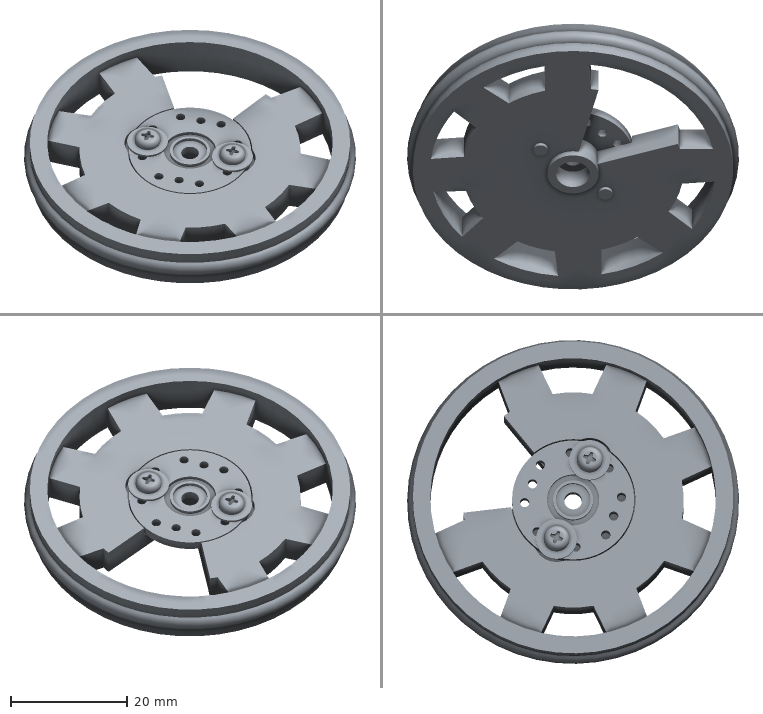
import cadquery as cq
import math

OVERALL_DIAMETER = 57.0
RIM_DIAMETER = 55.0
RIM_BORE = 49.0
RIM_HEIGHT = 7.0
WEB_THICKNESS = 5.0
NOTCH_FLOOR_RADIUS = 19.0
NOTCH_FLOOR_HALF_WIDTH = 3.4
NOTCH_SIDE_ANGLE = 25.0
NOTCH_COUNT = 8
OPENING_ANGLE = 58.0

TYRE_SECTION_DIAMETER = 3.0
TYRE_SECTION_RADIUS = TYRE_SECTION_DIAMETER / 2
TYRE_CENTRE_RADIUS = OVERALL_DIAMETER / 2 - TYRE_SECTION_RADIUS

HORN_DIAMETER = 21.0
HORN_THICKNESS = 1.7
HORN_POCKET_DIAMETER = 21.45
BOSS_DIAMETER = 8.8
BOSS_PROJECTION = 1.1
COLLAR_DIAMETER = 6.9
COLLAR_BORE = 5.9
COLLAR_RECESS_DIAMETER = 8.95
COLLAR_DEPTH = 0.6
AXLE_HOLE_DIAMETER = 3.0
SOCKET_DIAMETER = 5.8
SOCKET_TOP = 2.85
HORN_HOLE_DIAMETER = 1.6
HORN_HOLE_PITCH = 3.6

SCREW_CIRCLE_RADIUS = 7.5
SCREW_ANGLE = 22.5
SHANK_DIAMETER = 2.4
SHANK_PROJECTION = 0.55
FLANGE_DIAMETER = 7.0
FLANGE_THICKNESS = 0.4
FLANGE_CLEARANCE = 0.45
HEAD_DIAMETER = 4.4
HEAD_FLAT_DIAMETER = 2.4
HEAD_HEIGHT = 1.3
CROSS_LENGTH = 2.2
CROSS_TIP_WIDTH = 0.45
CROSS_ROOT_WIDTH = 0.95
CROSS_DEPTH = 0.9

OPENING_MID_ANGLE = SCREW_ANGLE + 90
SCREW_ANGLES = [SCREW_ANGLE, SCREW_ANGLE + 180]
POCKET_FLOOR = WEB_THICKNESS - HORN_THICKNESS
LOBE_DIAMETER = FLANGE_DIAMETER + 2 * FLANGE_CLEARANCE


def polar(radius, angle):
    """Point at a radius and an angle in degrees."""
    return (radius * math.cos(math.radians(angle)), radius * math.sin(math.radians(angle)))


def cylinder(diameter, bottom, top, centre=(0, 0)):
    return cq.Workplane("XY", origin=(*centre, bottom)).circle(diameter / 2).extrude(top - bottom)


SCREW_POINTS = [polar(SCREW_CIRCLE_RADIUS, angle) for angle in SCREW_ANGLES]


def make_tyre():
    section = cq.Workplane("XZ").center(TYRE_CENTRE_RADIUS, RIM_HEIGHT / 2).circle(TYRE_SECTION_RADIUS)
    return section.revolve(360, (-TYRE_CENTRE_RADIUS, 0), (-TYRE_CENTRE_RADIUS, 1))


def make_notch():
    """Gap between two spokes, pointing along +X and widening outwards."""
    corner_x = math.sqrt(NOTCH_FLOOR_RADIUS**2 - NOTCH_FLOOR_HALF_WIDTH**2)
    outer_x = RIM_DIAMETER / 2
    flare = (outer_x - corner_x) * math.tan(math.radians(NOTCH_SIDE_ANGLE))
    outer_half_width = NOTCH_FLOOR_HALF_WIDTH + flare
    return (
        cq.Workplane("XY")
        .moveTo(corner_x, -NOTCH_FLOOR_HALF_WIDTH)
        .threePointArc((NOTCH_FLOOR_RADIUS, 0), (corner_x, NOTCH_FLOOR_HALF_WIDTH))
        .lineTo(outer_x, outer_half_width)
        .lineTo(outer_x, -outer_half_width)
        .close()
        .extrude(WEB_THICKNESS)
    )


def make_opening():
    """Wedge from the axis out to the rim, centred on the missing spoke."""
    half_angle = OPENING_ANGLE / 2
    corner_radius = RIM_BORE / 2 / math.cos(math.radians(half_angle))
    return (
        cq.Workplane("XY")
        .lineTo(*polar(corner_radius, OPENING_MID_ANGLE - half_angle))
        .lineTo(*polar(corner_radius, OPENING_MID_ANGLE + half_angle))
        .close()
        .extrude(WEB_THICKNESS)
    )


def make_web():
    web = cylinder(RIM_BORE, 0, WEB_THICKNESS).cut(make_opening())
    for index in range(NOTCH_COUNT):
        web = web.cut(make_notch().rotate((0, 0, 0), (0, 0, 1), index * 360 / NOTCH_COUNT))
    web = web.cut(cylinder(HORN_POCKET_DIAMETER, POCKET_FLOOR, WEB_THICKNESS))
    web = web.cut(cylinder(BOSS_DIAMETER, 0, WEB_THICKNESS))
    for point in SCREW_POINTS:
        web = web.cut(cylinder(LOBE_DIAMETER, POCKET_FLOOR, WEB_THICKNESS, point))
        web = web.cut(cylinder(SHANK_DIAMETER, 0, WEB_THICKNESS, point))
    return web


def make_wheel():
    rim = cylinder(RIM_DIAMETER, 0, RIM_HEIGHT).cut(cylinder(RIM_BORE, 0, RIM_HEIGHT))
    return rim.union(make_web()).cut(make_tyre())


def horn_hole_points():
    """Small holes: a full row of three in line with the opening and its opposite, and one on
    each side of every screw."""
    points = []
    for row in range(4):
        row_angle = SCREW_ANGLE + row * 90
        mid_x, mid_y = polar(SCREW_CIRCLE_RADIUS, row_angle)
        step_x, step_y = polar(HORN_HOLE_PITCH, row_angle + 90)
        steps = [-1, 1] if row_angle in SCREW_ANGLES else [-1, 0, 1]
        points += [(mid_x + step * step_x, mid_y + step * step_y) for step in steps]
    return points


def make_horn():
    recess_floor = WEB_THICKNESS - COLLAR_DEPTH
    horn = cylinder(HORN_DIAMETER, POCKET_FLOOR, WEB_THICKNESS)
    horn = horn.union(cylinder(BOSS_DIAMETER, -BOSS_PROJECTION, POCKET_FLOOR))
    horn = horn.cut(cylinder(COLLAR_RECESS_DIAMETER, recess_floor, WEB_THICKNESS))
    collar = cylinder(COLLAR_DIAMETER, recess_floor, WEB_THICKNESS)
    horn = horn.union(collar.cut(cylinder(COLLAR_BORE, recess_floor, WEB_THICKNESS)))
    horn = horn.cut(cylinder(AXLE_HOLE_DIAMETER, -BOSS_PROJECTION, WEB_THICKNESS))
    horn = horn.cut(cylinder(SOCKET_DIAMETER, -BOSS_PROJECTION, SOCKET_TOP))
    for point in horn_hole_points():
        horn = horn.cut(cylinder(HORN_HOLE_DIAMETER, POCKET_FLOOR, WEB_THICKNESS, point))
    for point in SCREW_POINTS:
        horn = horn.cut(cylinder(SHANK_DIAMETER, POCKET_FLOOR, WEB_THICKNESS, point))
    return horn


def make_cross_bar():
    """One bar of the cross recess along X, tapering from the screw axis to both tips."""
    tip_x = CROSS_LENGTH / 2
    tip_y = CROSS_TIP_WIDTH / 2
    root_y = CROSS_ROOT_WIDTH / 2
    outline = [
        (-tip_x, -tip_y), (0, -root_y), (tip_x, -tip_y),
        (tip_x, tip_y), (0, root_y), (-tip_x, tip_y),
    ]
    return cq.Workplane("XY").polyline(outline).close().extrude(CROSS_DEPTH)


def make_screw(point):
    flange_top = WEB_THICKNESS + FLANGE_THICKNESS
    head_top = flange_top + HEAD_HEIGHT
    dome_radius = (HEAD_DIAMETER - HEAD_FLAT_DIAMETER) / 2
    head = cylinder(HEAD_DIAMETER, flange_top, head_top).faces(">Z").edges().fillet(dome_radius)
    for bar_angle in (SCREW_ANGLE, SCREW_ANGLE + 90):
        bar = make_cross_bar().rotate((0, 0, 0), (0, 0, 1), bar_angle)
        head = head.cut(bar.translate((0, 0, head_top - CROSS_DEPTH)))
    screw = cylinder(SHANK_DIAMETER, -SHANK_PROJECTION, WEB_THICKNESS)
    screw = screw.union(cylinder(FLANGE_DIAMETER, WEB_THICKNESS, flange_top)).union(head)
    return screw.translate((*point, 0))


wheel = make_wheel()
tyre = make_tyre()
horn = make_horn()
screws = [make_screw(point) for point in SCREW_POINTS]

result = cq.Compound.makeCompound([wheel.val(), tyre.val(), horn.val(), *[screw.val() for screw in screws]])